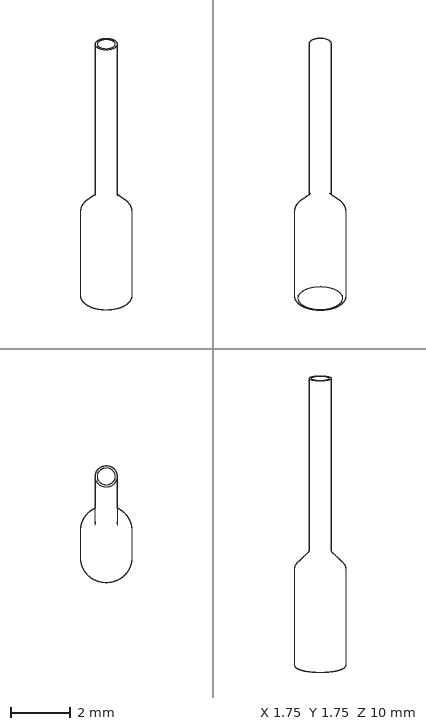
import cadquery as cq

total_length = 10
collar_diameter = 1.75
collar_bore_diameter = 1.5
tube_diameter = 0.75
tube_bore_diameter = 0.6

shoulder_height = (collar_diameter - tube_diameter) / 2
funnel_height = (collar_bore_diameter - tube_bore_diameter) / 2
tube_length = 6
collar_length = total_length - tube_length - shoulder_height
collar_bore_depth = collar_length - 0.05

shoulder_round = 0.25
neck_round = 0.1
rim_round = 0.1


def stepped_revolution(wide_diameter, wide_length, cone_height, narrow_diameter):
    """Wide cylinder standing on Z = 0, a cone, then a narrow cylinder to the top."""
    wide_radius = wide_diameter / 2
    narrow_radius = narrow_diameter / 2
    return (
        cq.Workplane("XZ")
        .moveTo(0, 0)
        .lineTo(wide_radius, 0)
        .lineTo(wide_radius, wide_length)
        .lineTo(narrow_radius, wide_length + cone_height)
        .lineTo(narrow_radius, total_length)
        .lineTo(0, total_length)
        .close()
        .revolve(360, (0, 0, 0), (0, 1, 0))
    )


def round_circle(body, height, radius):
    """Round the circular edge whose centre lies at the given height."""
    tolerance = 0.001
    edge_box = cq.selectors.BoxSelector(
        (-collar_diameter, -collar_diameter, height - tolerance),
        (collar_diameter, collar_diameter, height + tolerance),
    )
    return body.edges("%CIRCLE").edges(edge_box).fillet(radius)


outside = stepped_revolution(collar_diameter, collar_length, shoulder_height, tube_diameter)
outside = round_circle(outside, collar_length + shoulder_height, neck_round)
outside = round_circle(outside, collar_length, shoulder_round)
outside = round_circle(outside, 0, rim_round)

inside = stepped_revolution(
    collar_bore_diameter, collar_bore_depth, funnel_height, tube_bore_diameter
)

result = outside.cut(inside)